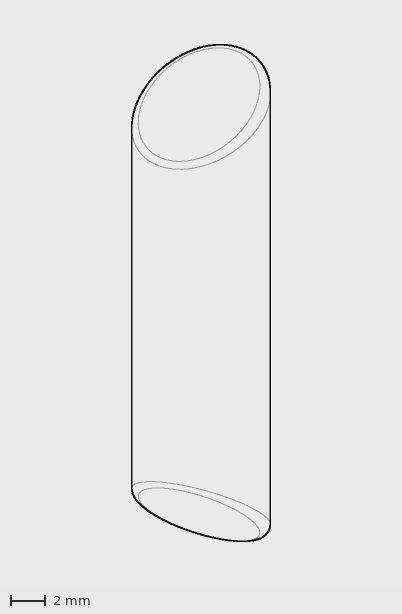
import cadquery as cq
import math

diameter = 8.0
axis_length = 25.0
end_slope_deg = 35.0
edge_radius = 0.5

radius = diameter / 2
half_length = axis_length / 2
end_rise = radius * math.tan(math.radians(end_slope_deg))
long_half = half_length + end_rise
short_half = half_length - end_rise


def round_bar():
    """Round bar along Z, as tall as the longest side of the part."""
    return cq.Workplane("XY").circle(radius).extrude(long_half, both=True)


def side_profile():
    """Trapezoid prism whose sloping edges give the mirrored slanted ends."""
    corners = [
        (-radius, -short_half),
        (radius, -long_half),
        (radius, long_half),
        (-radius, short_half),
    ]
    return cq.Workplane("YZ").polyline(corners).close().extrude(radius, both=True)


def round_end_edges(pin):
    """Round the elliptical rim of both end faces."""
    return pin.faces("%PLANE").edges().fillet(edge_radius)


result = round_end_edges(round_bar().intersect(side_profile()))